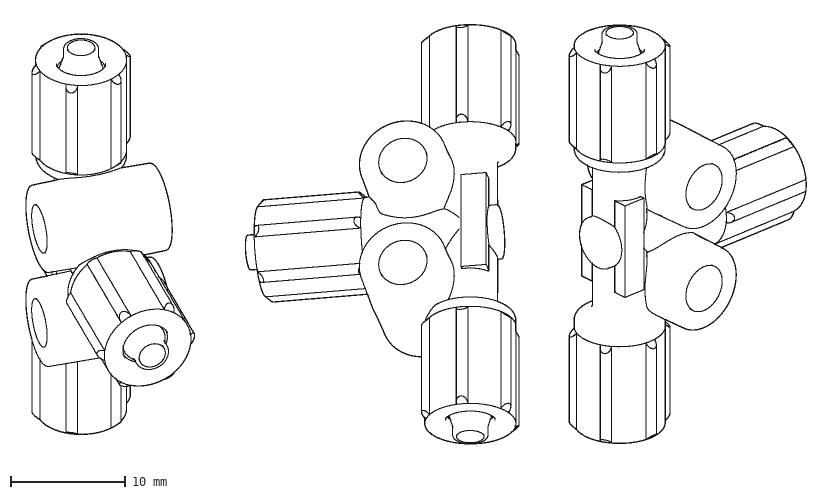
import cadquery as cq

port_tip = 19.8
bore_dia = 2.4
tube_dia = 4.8

collar_dia = 8.0
collar_edge_radius = 0.5
collar_underside = 7.92
collar_face = 9.03
run_root_radius = 1.03
branch_root_radius = 0.48
stem_dia = 4.3
stem_end = 17.5
cone_base_dia = 3.9
cone_end = 18.77
spigot_dia = 3.1
spigot_tip_radius = 0.15

nut_dia = collar_dia
nut_end = 18.55
nut_mouth_dia = 5.2
rib_count = 6
rib_radius = 0.5
rib_circle_radius = nut_dia / 2

boss_dia = 8.0
boss_draft = 1.0
boss_hole_dia = 4.3
boss_length = 11.0
boss_offset = 5.0
boss_edge_radius = 0.1

pad_height = 9.0
pad_back = -1.95
pad_front = 0.3
pad_inner_y = 1.45
pad_outer_y = 2.8
button_dia = 4.8
button_back = -2.65
button_edge_radius = 0.1


def along_x(shape):
    """Turn a shape built along +Z to lie along +X."""
    return shape.rotate((0, 0, 0), (0, 1, 0), 90)


def along_minus_z(shape):
    """Turn a shape built along +Z to lie along -Z."""
    return shape.rotate((0, 0, 0), (1, 0, 0), 180)


def make_port(root_radius):
    """Tube, collar, nut stem and spigot of one port along +Z, without its bore."""
    tube_r = tube_dia / 2
    collar_r = collar_dia / 2
    spigot_r = spigot_dia / 2
    profile = (
        cq.Workplane("XZ")
        .lineTo(tube_r, 0)
        .lineTo(tube_r, collar_underside - root_radius)
        .radiusArc((tube_r + root_radius, collar_underside), root_radius)
        .lineTo(collar_r - collar_edge_radius, collar_underside)
        .radiusArc((collar_r, collar_underside + collar_edge_radius), -collar_edge_radius)
        .lineTo(collar_r, collar_face)
        .lineTo(stem_dia / 2, collar_face)
        .lineTo(stem_dia / 2, stem_end)
        .lineTo(cone_base_dia / 2, stem_end)
        .lineTo(spigot_r, cone_end)
        .lineTo(spigot_r, port_tip - spigot_tip_radius)
        .radiusArc((spigot_r - spigot_tip_radius, port_tip), -spigot_tip_radius)
        .lineTo(0, port_tip)
        .close()
    )
    return profile.revolve(360, (0, 0), (0, 1))


def make_bore():
    """Passage of one port, from the tee centre to the tip along +Z."""
    return cq.Workplane("XY").circle(bore_dia / 2).extrude(port_tip)


def make_boss():
    """Round boss along Y at the origin, tapered from its middle to both rounded rims."""
    half = (
        cq.Workplane("XZ")
        .circle(boss_dia / 2)
        .extrude(boss_length / 2, taper=boss_draft)
        .faces("<Y")
        .edges()
        .fillet(boss_edge_radius)
    )
    return half.union(half.mirror("XZ"))


def make_pad(side):
    """Flat-sided pad beside the tube, on the +Y (side=1) or -Y (side=-1) flank."""
    return cq.Workplane("XY").box(
        pad_front - pad_back, pad_outer_y - pad_inner_y, pad_height
    ).translate(((pad_front + pad_back) / 2, side * (pad_outer_y + pad_inner_y) / 2, 0))


def make_button():
    """Round button along X, with a rounded rim behind the tube."""
    button = cq.Workplane("YZ").circle(button_dia / 2).extrude(button_back)
    return button.faces("<X").edges().fillet(button_edge_radius)


def make_housing():
    """Tee body with three ports, two cross bosses, two pads and the button."""
    run_port = make_port(run_root_radius)
    housing = run_port.union(along_minus_z(run_port))
    housing = housing.union(along_x(make_port(branch_root_radius)))

    for side in (1, -1):
        housing = housing.union(make_boss().translate((boss_offset, 0, side * boss_offset)))
        housing = housing.union(make_pad(side))

    housing = housing.union(make_button())

    bore = make_bore()
    for passage in (bore, along_minus_z(bore), along_x(bore)):
        housing = housing.cut(passage)
    boss_holes = (
        cq.Workplane("XZ")
        .pushPoints([(boss_offset, boss_offset), (boss_offset, -boss_offset)])
        .circle(boss_hole_dia / 2)
        .extrude(boss_length, both=True)
    )
    return housing.cut(boss_holes)


def make_nut():
    """Ribbed nut along +Z, seated on the collar, with a rounded mouth."""
    length = nut_end - collar_face
    barrel = cq.Workplane("XY").circle(nut_dia / 2).extrude(length)
    ribs = (
        cq.Workplane("XY")
        .polarArray(rib_circle_radius, 90, 360, rib_count)
        .circle(rib_radius)
        .extrude(length)
    )
    rib_envelope = (
        cq.Workplane("XY")
        .circle(nut_dia / 2 + rib_radius)
        .extrude(length)
        .faces("<Z or >Z")
        .chamfer(rib_radius)
    )
    nut = barrel.union(ribs.intersect(rib_envelope))
    nut = nut.cut(cq.Workplane("XY").circle(stem_dia / 2).extrude(length))
    mouth_radius = (nut_mouth_dia - stem_dia) / 2
    nut = nut.edges(cq.selectors.RadiusNthSelector(0)).edges(">Z").fillet(mouth_radius)
    return nut.translate((0, 0, collar_face))


housing = make_housing()
nut = make_nut()
nuts = [nut, along_minus_z(nut), along_x(nut)]

result = cq.Compound.makeCompound([housing.val(), *[placed.val() for placed in nuts]])